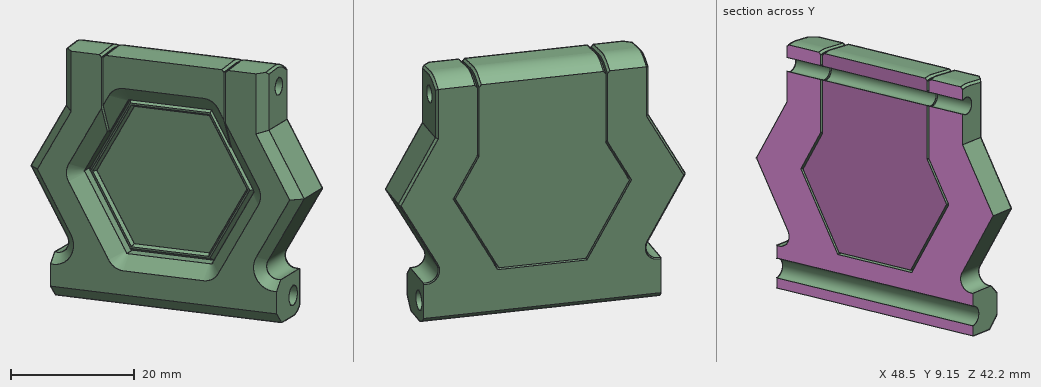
import cadquery as cq
import math


THICKNESS = 9.15
TOP_Z = 20.85
BOTTOM_Z = -21.4
HEX_CORNER_X = 24.25
TAB_HALF_WIDTH = 18.0
BASE_HALF_WIDTH = 20.07
BASE_TOP_Z = -14.05

MARGIN = 0.5
TOLERANCE = 0.005

FRONT_CHAMFER = 1.6
UPPER_BACK_CHAMFER = 0.4
LOWER_BACK_CHAMFER = 0.2
ROOF_END_CHAMFER = 0.4
BASE_FRONT_CHAMFER = 2.0

NECK_RADIUS = 2.0

ROOF_RADIUS = 5.8
ROOF_CENTER_Y = 4.9
ROOF_FRONT_ANGLE = math.radians(4)
ROOF_BACK_ANGLE = math.radians(30)

HINGE_HOLE_DIAMETER = 2.9
HINGE_HOLE_Y = 5.5
HINGE_HOLE_Z = 17.2
BASE_HOLE_DIAMETER = 3.3
BASE_HOLE_Y = 6.5
BASE_HOLE_Z = -17.95
BASE_ROUND_RADIUS = BASE_HOLE_Z - BOTTOM_Z

DOOR_HALF_WIDTH = 10.7
PLATE_APOTHEM = 12.75
CLEARANCE = 0.3
OPENING_HALF_WIDTH = DOOR_HALF_WIDTH + CLEARANCE
OPENING_APOTHEM = PLATE_APOTHEM + CLEARANCE

RECESS_FRONT_APOTHEM = 15.3
RECESS_CORNER_RADIUS = 3.0

RIM_TOP_DEPTH = 2.6
RIM_TOP_WIDTH = 0.3
RIM_SLOPE = math.tan(math.pi / 3)
RIM_OUTER_SLOPE_WIDTH = 0.55
RIM_INNER_SLOPE_WIDTH = 0.4
RIM_OUTER_HEIGHT = RIM_SLOPE * RIM_OUTER_SLOPE_WIDTH
RIM_INNER_HEIGHT = RIM_SLOPE * RIM_INNER_SLOPE_WIDTH
RIM_FOOT_DEPTH = RIM_TOP_DEPTH + RIM_OUTER_HEIGHT
PANEL_DEPTH = RIM_TOP_DEPTH + RIM_INNER_HEIGHT


def hex_diameter(apothem):
    """Distance across the corners of a hexagon."""
    return 2 * apothem / math.cos(math.pi / 6)


def hexagon(apothem, y):
    """Hexagon in a plane facing -Y at depth y, with corners pointing along X."""
    return cq.Workplane("XZ", origin=(0, y, 0)).polygon(6, hex_diameter(apothem))


def hex_prism(apothem):
    """Hexagonal prism that passes through the whole thickness."""
    return hexagon(apothem, THICKNESS + MARGIN).extrude(THICKNESS + 2 * MARGIN)


def hex_frustum(back_apothem, front_apothem, back_y, height):
    """Hexagonal frustum with sharp corners that runs from back_y toward the front."""
    return (
        hexagon(back_apothem, back_y)
        .workplane(offset=height)
        .polygon(6, hex_diameter(front_apothem))
        .loft(ruled=True)
    )


def front_outline():
    """Silhouette seen along Y, extruded through the thickness."""
    slope = math.tan(math.pi / 3)
    tab_corner_z = (HEX_CORNER_X - TAB_HALF_WIDTH) * slope
    neck_z = BASE_TOP_Z + NECK_RADIUS
    neck_x = HEX_CORNER_X + neck_z / slope + NECK_RADIUS / math.cos(math.pi / 6)
    arc_x = neck_x - NECK_RADIUS * math.cos(math.pi / 6)
    arc_rise = NECK_RADIUS * math.sin(math.pi / 6)
    return (
        cq.Workplane("XZ", origin=(0, THICKNESS, 0))
        .moveTo(0, TOP_Z)
        .lineTo(TAB_HALF_WIDTH, TOP_Z)
        .lineTo(TAB_HALF_WIDTH, tab_corner_z)
        .lineTo(HEX_CORNER_X, 0)
        .lineTo(arc_x, neck_z + arc_rise)
        .threePointArc((arc_x, neck_z - arc_rise), (neck_x, BASE_TOP_Z))
        .lineTo(BASE_HALF_WIDTH, BASE_TOP_Z)
        .lineTo(BASE_HALF_WIDTH, BOTTOM_Z)
        .lineTo(0, BOTTOM_Z)
        .mirrorY()
        .extrude(THICKNESS)
    )


def edges_on_face(body, face, low_z, high_z):
    """Edges of a face whose centres lie between two heights and off the base sides."""
    return [
        edge
        for edge in body.faces(face).edges().vals()
        if low_z < edge.Center().z < high_z
        and not (edge.geomType() == "LINE" and abs(abs(edge.Center().x) - BASE_HALF_WIDTH) < TOLERANCE)
    ]


def break_outline_edges(body):
    """Chamfer the front and back edges of the silhouette."""
    body = body.newObject(edges_on_face(body, "<Y", BOTTOM_Z, TOP_Z)).chamfer(FRONT_CHAMFER)
    body = body.newObject(edges_on_face(body, ">Y", 0, TOP_Z)).chamfer(UPPER_BACK_CHAMFER)
    return body.newObject(edges_on_face(body, ">Y", BOTTOM_Z, 0)).chamfer(LOWER_BACK_CHAMFER)


def roof_point(angle):
    """Point on the roof arc; positive angles lean toward the back."""
    y = ROOF_CENTER_Y + ROOF_RADIUS * math.sin(angle)
    z = TOP_Z - ROOF_RADIUS * (1 - math.cos(angle))
    return y, z


def side_profile():
    """Silhouette seen along X: sloped and rounded roof, chamfered and rounded base."""
    front_y, front_z = roof_point(-ROOF_FRONT_ANGLE)
    back_y, back_z = roof_point(ROOF_BACK_ANGLE)
    round_drop = math.sqrt(BASE_ROUND_RADIUS**2 - (THICKNESS - BASE_HOLE_Y) ** 2)
    middle_angle = math.pi / 8
    round_middle_y = BASE_HOLE_Y + BASE_ROUND_RADIUS * math.sin(middle_angle)
    round_middle_z = BASE_HOLE_Z - BASE_ROUND_RADIUS * math.cos(middle_angle)
    return (
        cq.Workplane("YZ", origin=(-HEX_CORNER_X - MARGIN, 0, 0))
        .moveTo(0, front_z - front_y * math.tan(ROOF_FRONT_ANGLE))
        .lineTo(front_y, front_z)
        .threePointArc(roof_point(0), (back_y, back_z))
        .lineTo(THICKNESS, back_z - (THICKNESS - back_y) * math.tan(ROOF_BACK_ANGLE))
        .lineTo(THICKNESS, BASE_HOLE_Z - round_drop)
        .threePointArc((round_middle_y, round_middle_z), (BASE_HOLE_Y, BOTTOM_Z))
        .lineTo(BASE_FRONT_CHAMFER, BOTTOM_Z)
        .lineTo(0, BOTTOM_Z + BASE_FRONT_CHAMFER)
        .close()
        .extrude(2 * (HEX_CORNER_X + MARGIN))
    )


def break_roof_ends(body, half_width):
    """Chamfer the roof edges that lie at X = -half_width and X = half_width."""
    edges = [
        edge
        for edge in body.edges().vals()
        if abs(abs(edge.Center().x) - half_width) < TOLERANCE
        and edge.BoundingBox().xlen < TOLERANCE
        and edge.BoundingBox().ylen > ROOF_END_CHAMFER
        and edge.Center().z > HINGE_HOLE_Z + HINGE_HOLE_DIAMETER / 2
    ]
    return body.newObject(edges).chamfer(ROOF_END_CHAMFER)


def pin_hole(diameter, y, z):
    """Straight pin hole along X through the full width."""
    return (
        cq.Workplane("YZ", origin=(-HEX_CORNER_X, 0, 0))
        .center(y, z)
        .circle(diameter / 2)
        .extrude(2 * HEX_CORNER_X)
    )


def upper_block(half_width):
    """Full-depth block from the hexagon centre up past the roof."""
    return cq.Workplane("XY").box(
        2 * half_width,
        2 * (THICKNESS + MARGIN),
        TOP_Z + MARGIN,
        centered=(True, True, False),
    )


def recess():
    """Hexagonal recess with 45 degree walls and round corners that open toward the front."""
    depth = RECESS_CORNER_RADIUS
    return hexagon(RECESS_FRONT_APOTHEM - RECESS_CORNER_RADIUS, depth).extrude(depth, taper=-45)


def plate_pocket():
    """Straight hexagonal pocket from the round recess corners down to the foot of the rim."""
    apex_apothem = RECESS_FRONT_APOTHEM - RECESS_CORNER_RADIUS
    corner_offset = (PLATE_APOTHEM - apex_apothem) / math.cos(math.pi / 6)
    start_depth = RECESS_CORNER_RADIUS - corner_offset
    return hexagon(PLATE_APOTHEM, RIM_FOOT_DEPTH).extrude(RIM_FOOT_DEPTH - start_depth)


def plate_face():
    """Front of the door plate: a rim sloped on both sides around the sunken panel."""
    outer_top = PLATE_APOTHEM - RIM_OUTER_SLOPE_WIDTH
    inner_top = outer_top - RIM_TOP_WIDTH
    inner_foot = inner_top - RIM_INNER_SLOPE_WIDTH
    outer = hex_frustum(PLATE_APOTHEM, outer_top, RIM_FOOT_DEPTH, RIM_OUTER_HEIGHT)
    return outer.cut(hex_frustum(inner_foot, inner_top, PANEL_DEPTH, RIM_INNER_HEIGHT))


def make_stock():
    """Closed outer shape that the frame and the door share."""
    body = break_outline_edges(front_outline()).intersect(side_profile())
    body = body.cut(pin_hole(HINGE_HOLE_DIAMETER, HINGE_HOLE_Y, HINGE_HOLE_Z))
    return body.cut(pin_hole(BASE_HOLE_DIAMETER, BASE_HOLE_Y, BASE_HOLE_Z))


def make_frame(stock):
    """Outer frame with the base and the two side knuckles of the hinge."""
    body = stock.cut(upper_block(OPENING_HALF_WIDTH)).cut(hex_prism(OPENING_APOTHEM))
    body = break_roof_ends(body, TAB_HALF_WIDTH)
    body = break_roof_ends(body, OPENING_HALF_WIDTH)
    return body.cut(recess())


def make_door(stock):
    """Door: the middle hinge knuckle and the hexagonal plate below it."""
    body = stock.intersect(upper_block(DOOR_HALF_WIDTH).union(hex_prism(PLATE_APOTHEM)))
    body = break_roof_ends(body, DOOR_HALF_WIDTH)
    return body.cut(recess()).cut(plate_pocket()).union(plate_face())


stock = make_stock()
frame = make_frame(stock)
door = make_door(stock)

result = cq.Compound.makeCompound([frame.val(), door.val()])